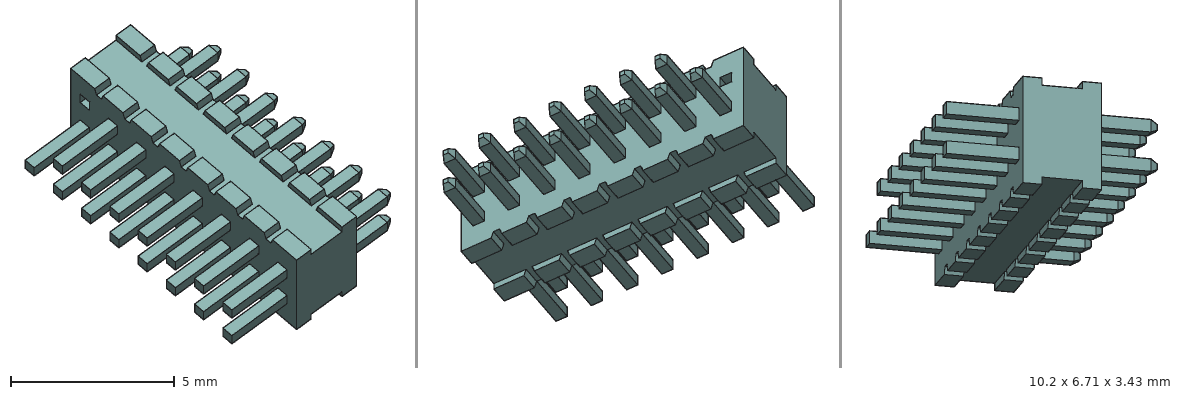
import cadquery as cq


COLUMNS = 8
BODY_LENGTH = 10.16
BODY_DEPTH = 2.5
BODY_HEIGHT = 3.43
PITCH = BODY_LENGTH / COLUMNS

RECESS_DEPTH = 0.23
CHANNEL_WIDTH = 1.28
NOTCH_MOUTH_WIDTH = 0.38
NOTCH_FLOOR_WIDTH = 0.21

PIN_SIZE = 0.41
FRONT_LENGTH = 2.3
REAR_LENGTH = 1.91
TIP_LENGTH = 0.23
TIP_SIZE = 0.18

COLUMN_XS = [(i - (COLUMNS - 1) / 2) * PITCH for i in range(COLUMNS)]
ROW_ZS = [-PITCH / 2, PITCH / 2]
EMPTY_POSITION = (COLUMN_XS[0], ROW_ZS[1])


def make_channel():
    """Channel along X in the upper face."""
    floor_z = BODY_HEIGHT / 2 - RECESS_DEPTH
    return (
        cq.Workplane("XY", origin=(0, 0, floor_z))
        .rect(BODY_LENGTH, CHANNEL_WIDTH)
        .extrude(RECESS_DEPTH)
    )


def make_notch(x):
    """Tapered notch along Y in the upper face, centred at x."""
    top_z = BODY_HEIGHT / 2
    floor_z = top_z - RECESS_DEPTH
    return (
        cq.Workplane("XZ")
        .polyline([
            (x - NOTCH_MOUTH_WIDTH / 2, top_z),
            (x + NOTCH_MOUTH_WIDTH / 2, top_z),
            (x + NOTCH_FLOOR_WIDTH / 2, floor_z),
            (x - NOTCH_FLOOR_WIDTH / 2, floor_z),
        ])
        .close()
        .extrude(BODY_DEPTH / 2, both=True)
    )


def make_body():
    """Plastic body with matching recesses above and below, and the empty pin hole."""
    recesses = make_channel()
    for column_x in COLUMN_XS[:-1]:
        recesses = recesses.union(make_notch(column_x + PITCH / 2))

    hole_x, hole_z = EMPTY_POSITION
    hole = cq.Workplane("XY").box(PIN_SIZE, BODY_DEPTH, PIN_SIZE).translate((hole_x, 0, hole_z))

    return (
        cq.Workplane("XY")
        .box(BODY_LENGTH, BODY_DEPTH, BODY_HEIGHT)
        .cut(recesses)
        .cut(recesses.mirror("XY"))
        .cut(hole)
    )


def make_pin(x, z):
    """Square pin along Y with a tapered tip at its +Y end."""
    front_y = -BODY_DEPTH / 2 - FRONT_LENGTH
    tip_start_y = BODY_DEPTH / 2 + REAR_LENGTH - TIP_LENGTH
    shank = (
        cq.Workplane("XZ", origin=(x, front_y, z))
        .rect(PIN_SIZE, PIN_SIZE)
        .extrude(front_y - tip_start_y)
    )
    tip = (
        cq.Workplane("XZ", origin=(x, tip_start_y, z))
        .rect(PIN_SIZE, PIN_SIZE)
        .workplane(offset=-TIP_LENGTH)
        .rect(TIP_SIZE, TIP_SIZE)
        .loft(ruled=True)
    )
    return shank.union(tip)


result = make_body()
for row_z in ROW_ZS:
    for pin_x in COLUMN_XS:
        if (pin_x, row_z) != EMPTY_POSITION:
            result = result.union(make_pin(pin_x, row_z))